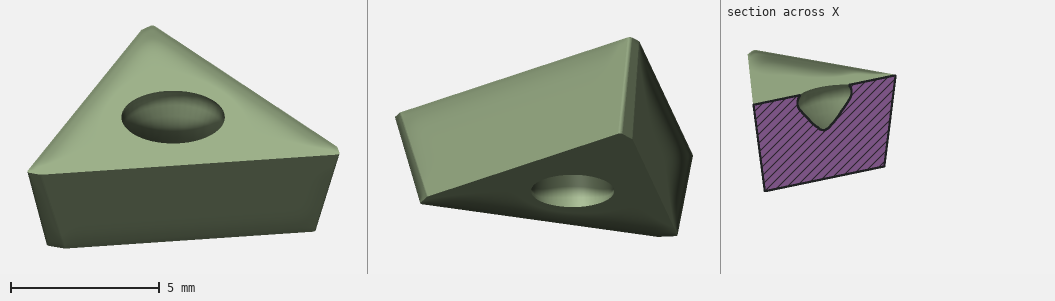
import cadquery as cq
import math

thickness = 3.18
inscribed_radius = 6.35 / 2
corner_reach = 5.24
facet_tilt = 4.0
side_relief = 7.0
facet_relief = 13.0
corner_radius = 0.11
side_count = 3

bore_radius = 2.8 / 2
mouth_radius = 3.48 / 2
seat_depth = 2.0
groove_height = 0.56


def crossing(first, second):
    """Point where two lines meet, each given as (normal angle, distance from axis)."""
    angle_a, distance_a = first
    angle_b, distance_b = second
    a, b = math.radians(angle_a), math.radians(angle_b)
    span = math.sin(b - a)
    x = (distance_a * math.sin(b) - distance_b * math.sin(a)) / span
    y = (distance_b * math.cos(a) - distance_a * math.cos(b)) / span
    return x, y


def outline(depth):
    """Corners of the insert outline at a depth below the top face."""
    side_distance = inscribed_radius - depth * math.tan(math.radians(side_relief))
    tilt = math.radians(facet_tilt)
    facet_distance = corner_reach * math.cos(tilt) - inscribed_radius * math.sin(tilt)
    end_distance = facet_distance - depth * math.tan(math.radians(facet_relief))
    lines = []
    for index in range(side_count):
        turn = index * 360 / side_count
        lines.append((180 + turn, side_distance))
        lines.append((270 + facet_tilt + turn, end_distance))
    return [crossing(line, lines[(i + 1) % len(lines)]) for i, line in enumerate(lines)]


def make_body():
    """Tapered body with its flank and facet edges rounded."""
    body = (
        cq.Workplane("XY")
        .polyline(outline(thickness)).close()
        .workplane(offset=thickness)
        .polyline(outline(0)).close()
        .loft(ruled=True, combine=True)
    )
    return body.edges("not(#Z)").fillet(corner_radius)


def make_hole():
    """Revolved hole: a convex seat above the bore, then a groove bulging outward below the mouth."""
    groove_foot = (mouth_radius, thickness - groove_height)
    return (
        cq.Workplane("XZ")
        .lineTo(bore_radius, 0)
        .lineTo(bore_radius, thickness - seat_depth)
        .tangentArcPoint(groove_foot, relative=False)
        .tangentArcPoint((mouth_radius, thickness), relative=False)
        .lineTo(0, thickness)
        .close()
        .revolve(360, (0, 0, 0), (0, 1, 0))
    )


result = make_body().cut(make_hole())